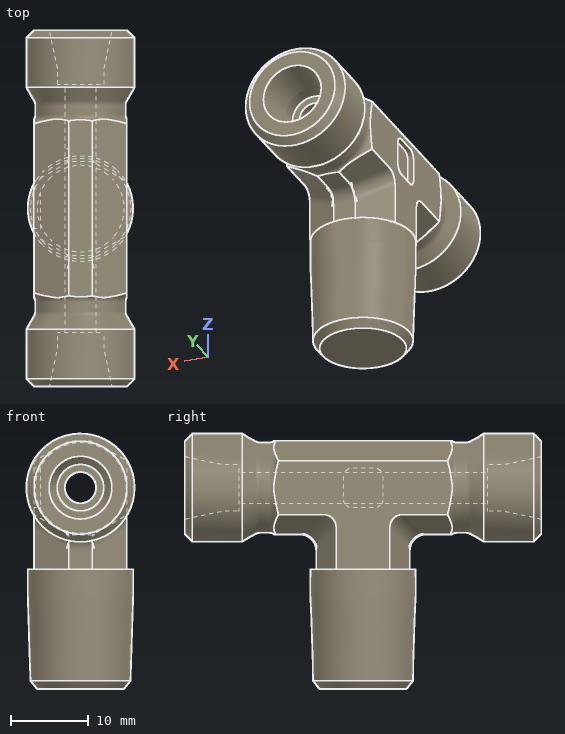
import cadquery as cq
import math


across_flats = 12.0
crest_height = 6.06
corner_fillet = 2.0

run_half_length = 23.0
thread_radius = 14.0 / 2
thread_chamfer = 1.0
thread_inner_y = 15.6
groove_radius = 11.7 / 2
groove_fillet = 0.8
runout_angle = math.radians(30)
shoulder_angle = math.radians(60)
hex_corner_y = 10.9

bore_diameter = 4.0
tube_diameter = 6.0
tube_seat_depth = 7.0
mouth_diameter = 8.1
mouth_half_angle = math.radians(12)

branch_length = 26.0
collar_radius = 13.63 / 2
collar_top_z = -10.5
collar_bottom_z = -14.0
taper_ratio = 1 / 16
tip_chamfer_height = 1.1
tip_radius = 5.6

panel_size = 5.1
panel_corner_radius = 1.1
panel_depth = 0.8

flat_distance = across_flats / 2
hex_corner_radius = across_flats / math.sqrt(3)
hex_side_half = hex_corner_radius / 2
crest_half_width = (hex_corner_radius - crest_height) * math.sqrt(3)
groove_outer_y = thread_inner_y - (thread_radius - groove_radius) / math.tan(runout_angle)
groove_inner_y = hex_corner_y + (hex_corner_radius - groove_radius) / math.tan(shoulder_angle)
groove_middle_y = (groove_outer_y + groove_inner_y) / 2
clearance_radius = math.hypot(collar_top_z, across_flats)
clearance_y = hex_corner_y - (clearance_radius - hex_corner_radius) / math.tan(shoulder_angle)
corner_reach = crest_height + corner_fillet


def truncated_hexagon(workplane):
    """Hexagon with flats on +-X, its two remaining corners cut to the crest height."""
    return workplane.polyline([
        (flat_distance, -hex_side_half),
        (flat_distance, hex_side_half),
        (crest_half_width, crest_height),
        (-crest_half_width, crest_height),
        (-flat_distance, hex_side_half),
        (-flat_distance, -hex_side_half),
        (-crest_half_width, -crest_height),
        (crest_half_width, -crest_height),
    ]).close()


def make_hex_core():
    """Run and branch prisms blended along their concave corners."""
    run = truncated_hexagon(cq.Workplane("XZ")).extrude(groove_middle_y, both=True)
    branch = truncated_hexagon(cq.Workplane("XY")).extrude(collar_top_z)
    corner_zone = cq.selectors.BoxSelector(
        (-across_flats, -corner_reach, -corner_reach),
        (across_flats, corner_reach, 0),
        boundingbox=True,
    )
    return run.union(branch).edges(corner_zone).fillet(corner_fillet)


def revolve_about_run(points):
    """Solid of revolution about the Y axis from (radius, y) points."""
    return cq.Workplane("XY").polyline(points).close().revolve(360, (0, 0), (0, 1))


def round_groove_roots(solid):
    """Fillet the corners at the bottom of both run grooves, the smallest circles of the solid."""
    groove_roots = cq.selectors.RadiusNthSelector(0)
    return solid.edges("%CIRCLE").edges(groove_roots).fillet(groove_fillet)


def make_run_envelope():
    """Turned outline of the whole run, with a middle wide enough to clear the branch neck."""
    half_outline = [
        (clearance_radius, clearance_y),
        (groove_radius, groove_inner_y),
        (groove_radius, groove_outer_y),
        (thread_radius, thread_inner_y),
        (thread_radius, run_half_length - thread_chamfer),
        (thread_radius - thread_chamfer, run_half_length),
        (0, run_half_length),
    ]
    other_half = [(radius, -y) for radius, y in reversed(half_outline)]
    return round_groove_roots(revolve_about_run(other_half + half_outline))


def make_run_end():
    """Round bar that carries the thread at the +Y end, starting inside the groove."""
    bar = cq.Workplane("XZ", origin=(0, groove_middle_y, 0)).circle(thread_radius)
    return bar.extrude(groove_middle_y - run_half_length)


def make_bore_end():
    """Cutter for the tube seat and conical mouth at the +Y end."""
    tube_radius = tube_diameter / 2
    mouth_radius = mouth_diameter / 2
    cone_length = (mouth_radius - tube_radius) / math.tan(mouth_half_angle)
    seat_y = run_half_length - tube_seat_depth
    return revolve_about_run([
        (0, seat_y),
        (tube_radius, seat_y),
        (tube_radius, run_half_length - cone_length),
        (mouth_radius, run_half_length),
        (0, run_half_length),
    ])


def make_branch_end():
    """Collar and tapered spigot with a chamfered tip."""
    taper_end_z = -branch_length + tip_chamfer_height
    taper_end_radius = collar_radius - (collar_bottom_z - taper_end_z) * taper_ratio / 2
    profile = cq.Workplane("XZ").polyline([
        (0, collar_top_z),
        (collar_radius, collar_top_z),
        (collar_radius, collar_bottom_z),
        (taper_end_radius, taper_end_z),
        (tip_radius, -branch_length),
        (0, -branch_length),
    ]).close()
    return profile.revolve(360, (0, 0), (0, 1))


def make_panel():
    """Cutter for the shallow rounded square on the -X flat."""
    block = cq.Workplane("XY").box(panel_depth, panel_size, panel_size)
    block = block.edges("|X").fillet(panel_corner_radius)
    return block.translate((-flat_distance + panel_depth / 2, 0, 0))


def cut_run_bore(body):
    """Drill the through bore and both tube seats."""
    through_bore = cq.Workplane("XZ").circle(bore_diameter / 2).extrude(run_half_length, both=True)
    seat = make_bore_end()
    return body.cut(through_bore).cut(seat).cut(seat.mirror("XZ"))


core = make_hex_core()
run_end = make_run_end()
blank = core.union(run_end).union(run_end.mirror("XZ"))
body = blank.intersect(make_run_envelope()).union(make_branch_end())
result = cut_run_bore(body).cut(make_panel())